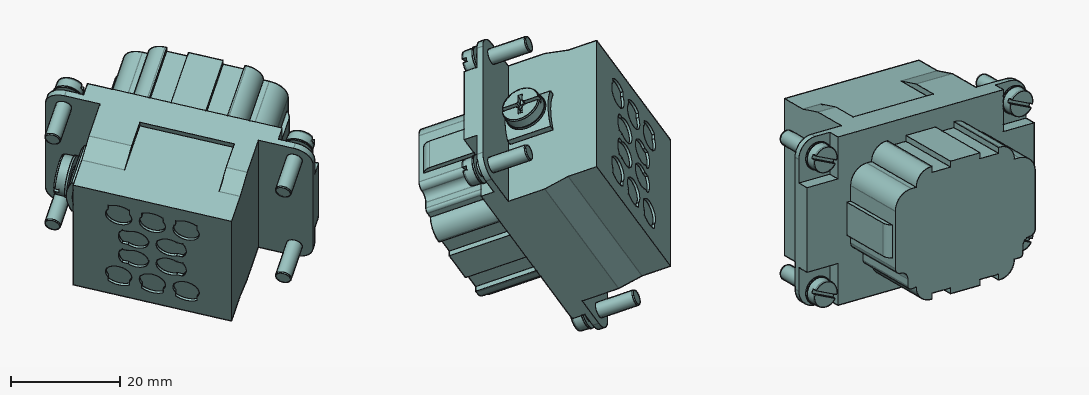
import cadquery as cq
import math


length = 51.0
height = 33.8

flange_thickness = 3.8
flange_corner_radius = 3.65
corner_recess_length = 6.95
corner_recess_height = 8.4
corner_recess_depth = 2.6

body_length = 30.2
body_depth = 22.0
narrow_height = 31.5
taper_start = 11.3
taper_end = 16.1

label_x_min = -6.95
label_x_max = 11.05
label_start = 5.8

entry_diameter = 5.0
entry_lobe_radius = 3.25
entry_lobe_width = 4.1
entry_depth = 0.5
outer_row_pitch = 6.45
outer_row_z = 9.2
inner_row_x = 3.2
inner_row_z = 3.0

block_depth = 14.25
block_length = 31.4
block_height = 26.6
upper_corner_radius = 3.6
lobe_center_x = 7.75
lobe_radius = 3.25
lobe_flat = 0.3
web_height = 24.3
center_rib_width = 6.65
lower_wall_end_z = -5.1
lower_corner_radius = 1.2
lower_fillet_radius = 1.6
lower_edge_radius = 0.7

end_rib_height = 6.65
end_rib_length = 13.25
end_rib_projection = 0.85
end_rib_nose_radius = 2.05
end_rib_nose_length = 1.7

head_edge_height = 0.3
head_side_draft = 0.05

screw_x = 22.0
screw_z = 13.5
screw_seat_y = -1.55
screw_shaft_diameter = 3.0
screw_shaft_length = 10.05
screw_tip_diameter = 2.8
screw_tip_length = 0.25
screw_rim_diameter = 5.5
screw_rim_thickness = 0.35
screw_head_diameter = 5.25
screw_top_diameter = 5.0
screw_head_height = 2.5
screw_slot_width = 0.75
screw_slot_depth = 0.85
screw_slot_angle = -23.0

earth_y = -9.4
earth_seat_x = -18.75
earth_shaft_diameter = 4.0
earth_rim_diameter = 8.0
earth_rim_thickness = 0.4
earth_head_diameter = 7.7
earth_top_diameter = 7.35
earth_head_height = 2.55
earth_slot_width = 0.8
earth_slot_depth = 1.0
cross_arm_length = 4.5
cross_arm_inset = 0.4
cross_socket_diameter = 1.7
cross_socket_inset = 0.15
cross_socket_depth = 1.55
clamp_size = 8.8
clamp_gap = 0.05
clamp_sagitta = 1.0
clamp_thickness = 1.1

signs = (-1, 1)


def make_flange():
    """Rounded plate, thinned from the mating side at its four corners."""
    plate = (
        cq.Workplane("XY")
        .box(length, flange_thickness, height)
        .edges("|Y")
        .fillet(flange_corner_radius)
        .translate((0, -flange_thickness / 2, 0))
    )
    for sx in signs:
        for sz in signs:
            recess = cq.Workplane("XY").box(
                2 * corner_recess_length, 2 * corner_recess_depth, 2 * corner_recess_height
            )
            plate = plate.cut(recess.translate((sx * length / 2, 0, sz * height / 2)))
    return plate


def make_body():
    """Terminal body whose top and bottom taper in towards the terminal face."""
    half = height / 2
    narrow = narrow_height / 2
    return (
        cq.Workplane("YZ")
        .moveTo(0, -half)
        .lineTo(0, half)
        .lineTo(-taper_start, half)
        .lineTo(-taper_end, narrow)
        .lineTo(-body_depth, narrow)
        .lineTo(-body_depth, -narrow)
        .lineTo(-taper_end, -narrow)
        .lineTo(-taper_start, -half)
        .close()
        .extrude(body_length / 2, both=True)
    )


def make_label_recess():
    """Shallow pocket whose floor is flush with the narrow end of the body."""
    corner = (label_x_min, -body_depth, narrow_height / 2)
    pocket = cq.Workplane("XY").box(
        label_x_max - label_x_min, body_depth - label_start, height - narrow_height, centered=False
    )
    return pocket.translate(corner)


def make_wire_entry(x, z, lobe_angle):
    """Round opening with a wider lobe on one side, lobe_angle measured from +X."""
    entry = cq.Workplane("XY").circle(entry_diameter / 2).extrude(entry_depth)
    lobe = (
        cq.Workplane("XY")
        .circle(entry_lobe_radius)
        .extrude(entry_depth)
        .intersect(
            cq.Workplane("XY")
            .rect(entry_lobe_radius, entry_lobe_width)
            .extrude(entry_depth)
            .translate((entry_lobe_radius / 2, 0, 0))
        )
    )
    opening = entry.union(lobe).rotate((0, 0, 0), (0, 0, 1), lobe_angle)
    upright = opening.rotate((0, 0, 0), (1, 0, 0), 90)
    return upright.translate((x, entry_depth - body_depth, z))


def cut_wire_entries(solid):
    """Three openings in each outer row and two in each inner row."""
    for sz in signs:
        for column in (-1, 0, 1):
            solid = solid.cut(make_wire_entry(column * outer_row_pitch, sz * outer_row_z, sz * 90))
        for sx in signs:
            lobe_angle = 0 if sx > 0 else 180
            solid = solid.cut(make_wire_entry(sx * inner_row_x, sz * inner_row_z, lobe_angle))
    return solid


def arc_middle(center_x, center_z, radius, angle):
    """Point on a circle, at an angle in degrees from +X."""
    a = math.radians(angle)
    return (center_x + radius * math.cos(a), center_z + radius * math.sin(a))


def make_mating_block():
    """Block with rounded lobes and a raised rib along the middle, mirrored about X = 0."""
    side = block_length / 2
    top = block_height / 2
    web = web_height / 2
    rib = center_rib_width / 2
    ledge = top - lobe_radius
    lobe_side = lobe_center_x + lobe_radius
    lobe_inner = lobe_center_x - lobe_flat
    upper_corner_x = side - upper_corner_radius
    upper_corner_z = ledge - upper_corner_radius

    lower_corner_x = side - lower_corner_radius
    lower_corner_z = lower_wall_end_z - lower_corner_radius
    step_side = lower_corner_x - lower_fillet_radius
    fillet_end_z = lower_corner_z - lower_fillet_radius
    edge_x = step_side - lower_edge_radius
    edge_z = -ledge + lower_edge_radius

    half = (
        cq.Workplane("XZ")
        .moveTo(0, top)
        .lineTo(rib, top)
        .lineTo(rib, web)
        .lineTo(lobe_inner, web)
        .lineTo(lobe_inner, top)
        .lineTo(lobe_center_x, top)
        .threePointArc(arc_middle(lobe_center_x, ledge, lobe_radius, 45), (lobe_side, ledge))
        .lineTo(upper_corner_x, ledge)
        .threePointArc(
            arc_middle(upper_corner_x, upper_corner_z, upper_corner_radius, 45), (side, upper_corner_z)
        )
        .lineTo(side, lower_wall_end_z)
        .threePointArc(
            arc_middle(lower_corner_x, lower_wall_end_z, lower_corner_radius, -45),
            (lower_corner_x, lower_corner_z),
        )
        .threePointArc(
            arc_middle(lower_corner_x, fillet_end_z, lower_fillet_radius, 135), (step_side, fillet_end_z)
        )
        .lineTo(step_side, edge_z)
        .threePointArc(arc_middle(edge_x, edge_z, lower_edge_radius, -45), (edge_x, -ledge))
        .lineTo(lobe_side, -ledge)
        .threePointArc(arc_middle(lobe_center_x, -ledge, lobe_radius, -45), (lobe_center_x, -top))
        .lineTo(lobe_inner, -top)
        .lineTo(lobe_inner, -web)
        .lineTo(rib, -web)
        .lineTo(rib, -top)
        .lineTo(0, -top)
        .close()
        .extrude(-block_depth)
    )
    return half.union(half.mirror("YZ"))


def make_end_ribs():
    """Flat ribs on both ends of the mating block, each with a rounded nose."""
    wall = block_length / 2
    face = wall + end_rib_projection
    nose_start = end_rib_length - end_rib_nose_length
    nose_center_x = face - end_rib_nose_radius
    nose_angle = math.degrees(math.asin(end_rib_nose_length / end_rib_nose_radius))
    nose_middle = arc_middle(nose_center_x, nose_start, end_rib_nose_radius, nose_angle / 2)
    nose_end = arc_middle(nose_center_x, nose_start, end_rib_nose_radius, nose_angle)
    rib = (
        cq.Workplane("XY")
        .moveTo(0, 0)
        .lineTo(face, 0)
        .lineTo(face, nose_start)
        .threePointArc(nose_middle, nose_end)
        .lineTo(0, end_rib_length)
        .close()
        .extrude(end_rib_height / 2, both=True)
    )
    return rib.union(rib.mirror("YZ"))


def make_screw_head(rim_diameter, rim_thickness, head_diameter, top_diameter, head_height):
    """Slightly conical head with a thin rim, seated at Z = 0 and facing +Z."""
    shoulder_radius = head_diameter / 2 - head_side_draft
    return (
        cq.Workplane("XZ")
        .moveTo(0, 0)
        .lineTo(rim_diameter / 2, 0)
        .lineTo(rim_diameter / 2, rim_thickness)
        .lineTo(head_diameter / 2, rim_thickness)
        .lineTo(shoulder_radius, head_height - head_edge_height)
        .lineTo(top_diameter / 2, head_height)
        .lineTo(0, head_height)
        .close()
        .revolve(360, (0, 0, 0), (0, 1, 0))
    )


def make_corner_screw():
    """Slotted screw along Z with a stepped-in tip."""
    head = make_screw_head(
        screw_rim_diameter, screw_rim_thickness, screw_head_diameter, screw_top_diameter, screw_head_height
    )
    slot = (
        cq.Workplane("XY")
        .box(screw_rim_diameter, screw_slot_width, 2 * screw_slot_depth)
        .rotate((0, 0, 0), (0, 0, 1), screw_slot_angle)
        .translate((0, 0, screw_head_height))
    )
    shaft = (
        cq.Workplane("XY")
        .circle(screw_shaft_diameter / 2)
        .extrude(-screw_shaft_length)
        .faces("<Z")
        .chamfer(screw_tip_length, (screw_shaft_diameter - screw_tip_diameter) / 2)
    )
    return head.cut(slot).union(shaft)


def make_earth_screw():
    """Earth screw along Z with a slot, a shorter cross arm and a tapered centre socket."""
    head = make_screw_head(
        earth_rim_diameter, earth_rim_thickness, earth_head_diameter, earth_top_diameter, earth_head_height
    )
    floor = earth_head_height - earth_slot_depth
    top = earth_head_height
    slot = cq.Workplane("XY").box(earth_slot_width, earth_rim_diameter, 2 * earth_slot_depth)
    slot = slot.translate((0, 0, top))
    arm_half = cross_arm_length / 2
    floor_half = arm_half - cross_arm_inset
    arm = (
        cq.Workplane("XZ")
        .polyline([(-arm_half, top), (arm_half, top), (floor_half, floor), (-floor_half, floor)])
        .close()
        .extrude(earth_slot_width / 2, both=True)
    )
    socket_radius = cross_socket_diameter / 2
    socket = (
        cq.Workplane("XY", origin=(0, 0, top - cross_socket_depth))
        .circle(socket_radius - cross_socket_inset)
        .workplane(offset=cross_socket_depth)
        .circle(socket_radius)
        .loft()
    )
    shaft_length = -body_length / 2 - earth_seat_x
    shaft = cq.Workplane("XY").circle(earth_shaft_diameter / 2).extrude(-shaft_length)
    return head.cut(slot).cut(arm).cut(socket).union(shaft)


def make_clamp_plate():
    """Square plate bowed about the Y axis, its crest just clear of the earth screw head."""
    half = clamp_size / 2
    crest = earth_seat_x + clamp_gap
    tip = crest + clamp_sagitta
    return (
        cq.Workplane("XZ")
        .moveTo(tip, -half)
        .threePointArc((crest, 0), (tip, half))
        .lineTo(tip + clamp_thickness, half)
        .threePointArc((crest + clamp_thickness, 0), (tip + clamp_thickness, -half))
        .close()
        .extrude(half, both=True)
        .translate((0, earth_y, 0))
    )


terminal_body = cut_wire_entries(make_body().cut(make_label_recess()))
result = make_flange().union(terminal_body).union(make_mating_block()).union(make_end_ribs())

corner_screw = make_corner_screw().rotate((0, 0, 0), (1, 0, 0), -90)
for sx in signs:
    for sz in signs:
        result = result.union(corner_screw.translate((sx * screw_x, screw_seat_y, sz * screw_z)))

earth_screw = make_earth_screw().rotate((0, 0, 0), (0, 1, 0), -90)
result = result.union(earth_screw.translate((earth_seat_x, earth_y, 0))).union(make_clamp_plate())